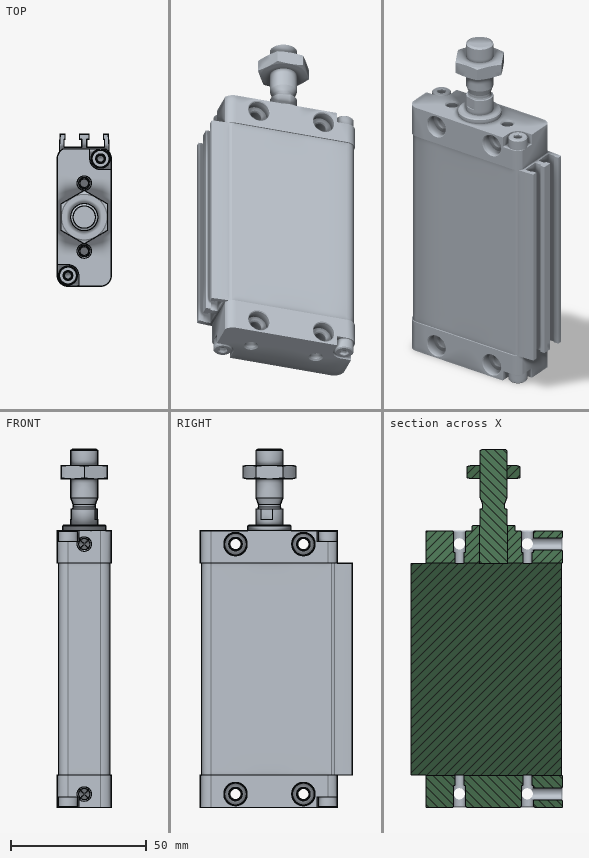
import cadquery as cq
import math


total_height = 132.0
cover_height = 12.0
barrel_height = 78.0
housing_height = barrel_height + 2 * cover_height

cover_width = 20.0
cover_length = 51.0
cover_corner_radius = 4.0
cover_back_y = 25.0

screw_x = cover_width / 2 - cover_corner_radius
screw_y = cover_length / 2 - cover_corner_radius
screw_positions = [(-screw_x, -screw_y, -1), (screw_x, screw_y, 1)]
screw_head_diameter = 7.0
screw_head_height = 4.0
screw_head_chamfer = 0.4
screw_pocket_radius = 4.0
socket_across_flats = 3.0
socket_cone_diameter = 2.57
socket_cone_depth = 0.75
socket_depth = 2.0
socket_mouth_diameter = 3.6
socket_mouth_depth = 0.3

thread_core_diameter = 4.13
thread_diameter = 5.0
hole_center_y = 12.5
hole_center_depth = 5.0
counterbore_diameter = 8.0
counterbore_depth = 4.0
counterbore_mouth_diameter = 8.65
end_hole_depth = 8.0
hole_mouth_diameter = 5.3
passage_diameter = 3.2

collar_diameter = 16.0
collar_height = 2.0
collar_chamfer = 0.4

barrel_width = 19.0
barrel_front_y = -25.1
barrel_corner_radius = 3.5
body_end_y = 22.9
shoulder_length = 1.0
shoulder_step = 0.3
rail_top_y = 30.5
rail_side_radius = 60.0
slot_floor_y = 25.8
slot_lip_y = rail_top_y - 1.9
slot_inner_x = 1.0
slot_outer_x = 7.4
slot_opening_inner_x = 1.8
slot_opening_outer_x = 7.0

rod_diameter = 10.0
wrench_flat_distance = 4.5
wrench_flat_angle = -12.5
wrench_flat_bottom = 106.0
wrench_flat_top = 110.0
thread_root_diameter = 8.2
undercut_foot_diameter = 8.65
undercut_foot_top = 110.6
undercut_top = 111.6
thread_start = 114.0
tip_chamfer_height = 0.5

nut_across_flats = 17.0
nut_thickness = 5.0
nut_top = 126.0
nut_face_diameter = 16.8
nut_chamfer_angle = 15.0


def threaded_hole(depth):
    """Cutter along -Z from the origin: a thread core with a 45 degree mouth."""
    mouth = (hole_mouth_diameter - thread_core_diameter) / 2
    return (
        cq.Workplane("XZ")
        .moveTo(0, 0)
        .lineTo(hole_mouth_diameter / 2, 0)
        .lineTo(thread_core_diameter / 2, -mouth)
        .lineTo(thread_core_diameter / 2, -depth)
        .lineTo(0, -depth)
        .close()
        .revolve(360, (0, 0), (0, 1))
    )


def fixing_hole():
    """Cutter along X: a thread core counterbored from both side faces."""
    half_width = cover_width / 2
    seat_x = half_width - counterbore_depth
    mouth = (counterbore_mouth_diameter - counterbore_diameter) / 2
    seat_mouth = (thread_diameter - thread_core_diameter) / 2
    half = (
        cq.Workplane("XY")
        .lineTo(half_width, 0)
        .lineTo(half_width, counterbore_mouth_diameter / 2)
        .lineTo(half_width - mouth, counterbore_diameter / 2)
        .lineTo(seat_x, counterbore_diameter / 2)
        .lineTo(seat_x, thread_diameter / 2)
        .lineTo(seat_x - seat_mouth, thread_core_diameter / 2)
        .lineTo(0, thread_core_diameter / 2)
        .close()
        .revolve(360, (0, 0), (1, 0))
    )
    return half.union(half.mirror("YZ"))


def screw_pocket(x, y, side):
    """Open corner pocket whose inner corner is rounded around the screw."""
    size = 4 * screw_pocket_radius
    offset = side * (size / 2 - screw_pocket_radius)
    return (
        cq.Workplane("XY", origin=(x + offset, y + offset, cover_height - screw_head_height))
        .rect(size, size)
        .extrude(size)
        .edges("|Z")
        .fillet(screw_pocket_radius)
    )


def turned_cone(bottom_diameter, top_diameter, height):
    """Cone or cone frustum standing on Z = 0."""
    return cq.Workplane(cq.Solid.makeCone(bottom_diameter / 2, top_diameter / 2, height))


def screw_head(x, y):
    """Cap screw head with a hexagon socket, flush with the outer face of the cover."""
    head = (
        cq.Workplane("XY", origin=(x, y, cover_height - screw_head_height))
        .circle(screw_head_diameter / 2)
        .extrude(screw_head_height)
        .faces(">Z")
        .chamfer(screw_head_chamfer)
    )
    socket = (
        cq.Workplane("XY", origin=(x, y, cover_height - socket_depth))
        .polygon(6, socket_across_flats, circumscribed=True)
        .extrude(socket_depth)
    )
    socket_mouth = turned_cone(socket_across_flats, socket_mouth_diameter, socket_mouth_depth)
    socket_mouth = socket_mouth.translate((x, y, cover_height - socket_mouth_depth))
    drill_cone = turned_cone(0, socket_cone_diameter, socket_cone_depth)
    drill_cone = drill_cone.translate((x, y, cover_height - socket_depth - socket_cone_depth))
    return head.cut(socket).cut(socket_mouth).cut(drill_cone)


def make_cover():
    """End cover with its inner face on Z = 0 and its outer face up."""
    cover = (
        cq.Workplane("XY")
        .rect(cover_width, cover_length)
        .extrude(cover_height)
        .edges("|Z")
        .fillet(cover_corner_radius)
    )
    behind_back = (
        cq.Workplane("XY")
        .center(0, cover_back_y + cover_length / 2)
        .rect(2 * cover_width, cover_length)
        .extrude(cover_height)
    )
    cover = cover.cut(behind_back)

    hole_z = cover_height - hole_center_depth
    for y in (-hole_center_y, hole_center_y):
        cover = cover.cut(fixing_hole().translate((0, y, hole_z)))
        cover = cover.cut(threaded_hole(end_hole_depth).translate((0, y, cover_height)))
        passage = cq.Workplane("XY").center(0, y).circle(passage_diameter / 2).extrude(hole_z)
        cover = cover.cut(passage)

    port_depth = cover_length / 2 - hole_center_y
    port = threaded_hole(port_depth).rotate((0, 0, 0), (1, 0, 0), 90)
    cover = cover.cut(port.translate((0, -cover_length / 2, hole_z)))

    for x, y, side in screw_positions:
        cover = cover.cut(screw_pocket(x, y, side)).union(screw_head(x, y))
    return cover


def make_rod_cover():
    """Upper cover with the bearing collar, bored for the rod."""
    collar = (
        cq.Workplane("XY", origin=(0, 0, cover_height))
        .circle(collar_diameter / 2)
        .extrude(collar_height)
        .faces(">Z")
        .chamfer(collar_chamfer)
    )
    bore = cq.Workplane("XY").circle(rod_diameter / 2).extrude(cover_height + collar_height)
    cover = make_cover().union(collar).cut(bore)
    return cover.translate((0, 0, housing_height - cover_height))


def make_end_cap():
    """Lower cover, the mirror image of the upper one, without collar or bore."""
    return make_cover().mirror("XY").translate((0, 0, cover_height))


def make_barrel():
    """Extruded barrel with two T-slots along its +Y side."""
    half_width = barrel_width / 2
    corner_y = barrel_front_y + barrel_corner_radius
    corner_x = half_width - barrel_corner_radius
    diagonal = barrel_corner_radius * math.sqrt(0.5)
    rail_root_x = half_width - shoulder_step
    rail_root_y = body_end_y + shoulder_length

    def rail_side_x(y):
        sagitta = rail_side_radius - math.sqrt(rail_side_radius**2 - (y - rail_root_y) ** 2)
        return rail_root_x - sagitta

    rail_mid_y = (rail_root_y + rail_top_y) / 2
    half = (
        cq.Workplane("XY", origin=(0, 0, cover_height))
        .moveTo(0, barrel_front_y)
        .lineTo(corner_x, barrel_front_y)
        .threePointArc((corner_x + diagonal, corner_y - diagonal), (half_width, corner_y))
        .lineTo(half_width, body_end_y)
        .lineTo(rail_root_x, rail_root_y)
        .threePointArc((rail_side_x(rail_mid_y), rail_mid_y), (rail_side_x(rail_top_y), rail_top_y))
        .lineTo(slot_opening_outer_x, rail_top_y)
        .lineTo(slot_opening_outer_x, slot_lip_y)
        .lineTo(slot_outer_x, slot_lip_y)
        .lineTo(slot_outer_x, slot_floor_y)
        .lineTo(slot_inner_x, slot_floor_y)
        .lineTo(slot_inner_x, slot_lip_y)
        .lineTo(slot_opening_inner_x, slot_lip_y)
        .lineTo(slot_opening_inner_x, rail_top_y)
        .lineTo(0, rail_top_y)
        .close()
        .extrude(barrel_height)
    )
    return half.union(half.mirror("YZ")).clean()


def make_rod():
    """Piston rod with an undercut below its thread and two wrench flats."""
    radius = rod_diameter / 2
    root_radius = thread_root_diameter / 2
    rod = (
        cq.Workplane("XZ")
        .moveTo(0, housing_height - cover_height)
        .lineTo(radius, housing_height - cover_height)
        .lineTo(radius, wrench_flat_top)
        .lineTo(undercut_foot_diameter / 2, wrench_flat_top)
        .lineTo(root_radius, undercut_foot_top)
        .lineTo(root_radius, undercut_top)
        .lineTo(radius, thread_start)
        .lineTo(radius, total_height - tip_chamfer_height)
        .lineTo(root_radius, total_height)
        .lineTo(0, total_height)
        .close()
        .revolve(360, (0, 0), (0, 1))
    )
    for direction in (-1, 1):
        flat = (
            cq.Workplane("XY", origin=(0, 0, wrench_flat_bottom))
            .center(direction * (wrench_flat_distance + radius), 0)
            .rect(rod_diameter, rod_diameter)
            .extrude(wrench_flat_top - wrench_flat_bottom)
        )
        rod = rod.cut(flat.rotate((0, 0, 0), (0, 0, 1), wrench_flat_angle))
    return rod


def make_nut():
    """Hexagon nut with both faces chamfered, on the rod thread."""
    half_thickness = nut_thickness / 2
    outer_radius = nut_across_flats
    face_radius = nut_face_diameter / 2
    drop = (outer_radius - face_radius) * math.tan(math.radians(nut_chamfer_angle))
    hexagon = (
        cq.Workplane("XY")
        .polygon(6, nut_across_flats, circumscribed=True)
        .extrude(half_thickness)
    )
    chamfer_cone = (
        cq.Workplane("XZ")
        .lineTo(outer_radius, 0)
        .lineTo(outer_radius, half_thickness - drop)
        .lineTo(face_radius, half_thickness)
        .lineTo(0, half_thickness)
        .close()
        .revolve(360, (0, 0), (0, 1))
    )
    half = hexagon.intersect(chamfer_cone)
    bore = cq.Workplane("XY").circle(rod_diameter / 2).extrude(half_thickness, both=True)
    nut = half.union(half.mirror("XY")).clean().cut(bore)
    return nut.translate((0, 0, nut_top - half_thickness))


rod_cover = make_rod_cover()
end_cap = make_end_cap()
barrel = make_barrel()
rod = make_rod()
nut = make_nut()

result = cq.Compound.makeCompound(
    [rod_cover.val(), end_cap.val(), barrel.val(), rod.val(), nut.val()]
)